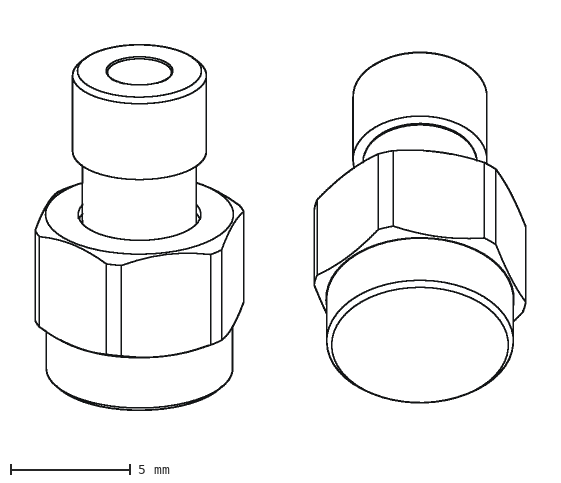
import cadquery as cq
import math

total_height = 13.9
collar_height = 2.53
nut_top = 7.3
head_bottom = 10.2

across_flats = 8.0
across_corners = 8.9
bevel_radius = 3.92
bevel_angle = math.radians(30)

collar_radius = 3.89
collar_chamfer = 0.21

stem_radius = 2.38
stem_chamfer_height = 0.13
stem_chamfer_width = 0.05
clearance_radius = 2.56
clearance_depth = 0.42

head_radius = 2.8
head_chamfer = 0.21
recess_rim_radius = 1.39
recess_floor_radius = 1.33
recess_depth = 0.07


def make_nut():
    """Hexagon with flats facing +X and -X, trimmed by a double-bevelled round."""
    nut_height = nut_top - collar_height
    corner_radius = across_corners / 2
    bevel_height = (corner_radius - bevel_radius) * math.tan(bevel_angle)
    hexagon = (
        cq.Workplane("XY")
        .workplane(offset=collar_height)
        .polygon(6, across_flats, circumscribed=True)
        .extrude(nut_height)
    )
    bevelled_round = (
        cq.Workplane("XZ")
        .moveTo(0, collar_height)
        .lineTo(bevel_radius, collar_height)
        .lineTo(corner_radius, collar_height + bevel_height)
        .lineTo(corner_radius, nut_top - bevel_height)
        .lineTo(bevel_radius, nut_top)
        .lineTo(0, nut_top)
        .close()
        .revolve(360, (0, 0, 0), (0, 1, 0))
    )
    clearance = (
        cq.Workplane("XY")
        .workplane(offset=nut_top - clearance_depth)
        .circle(clearance_radius)
        .extrude(clearance_depth)
    )
    return hexagon.intersect(bevelled_round).cut(clearance)


def make_collar():
    collar = cq.Workplane("XY").circle(collar_radius).extrude(collar_height)
    return collar.faces("<Z").chamfer(collar_chamfer)


def make_stem_and_head():
    """Turned profile from the collar top up to the recessed head."""
    return (
        cq.Workplane("XZ")
        .moveTo(0, collar_height)
        .lineTo(stem_radius, collar_height)
        .lineTo(stem_radius, head_bottom - stem_chamfer_height)
        .lineTo(stem_radius - stem_chamfer_width, head_bottom)
        .lineTo(head_radius, head_bottom)
        .lineTo(head_radius, total_height - head_chamfer)
        .lineTo(head_radius - head_chamfer, total_height)
        .lineTo(recess_rim_radius, total_height)
        .lineTo(recess_floor_radius, total_height - recess_depth)
        .lineTo(0, total_height - recess_depth)
        .close()
        .revolve(360, (0, 0, 0), (0, 1, 0))
    )


result = make_collar().union(make_nut()).union(make_stem_and_head())